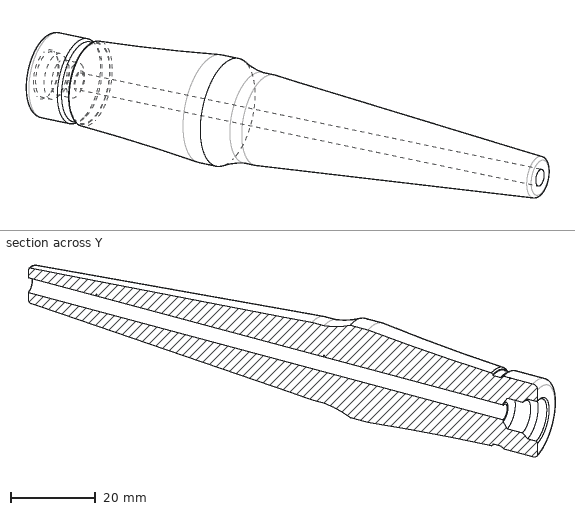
import cadquery as cq

length = 134.0

collar_diameter = 20.5
groove_diameter = 19.3
belly_diameter = 26.0
neck_diameter = 21.9
tip_diameter = 9.9

groove_chamfer_start = 9.0
groove_chamfer_end = 9.8
groove_end = 12.2
belly_start = 44.6
belly_end = 49.3
neck_start = 56.2
neck_end = 59.4

collar_fillet = 1.27
tip_fillet = 0.8
groove_lip_chamfer = 0.4
swell_sag = 0.24
flare_sag = 0.34

mouth_diameter = 11.8
socket_diameter = 11.0
pilot_diameter = 8.5
cone_end_diameter = 5.0
hole_diameter = 4.0
mouth_chamfer_depth = (mouth_diameter - socket_diameter) / 2
socket_depth = 2.7
shoulder_depth = 4.0
pilot_depth = 8.0
cone_depth = 9.1


def hollow_point(start, end, sag):
    """Middle of a chord between two profile points, lowered towards the axis."""
    return ((start[0] + end[0]) / 2, (start[1] + end[1]) / 2 - sag)


def turn(profile):
    """Close a profile drawn from one end of the axis and revolve it about X."""
    return profile.close().revolve(360, (0, 0, 0), (1, 0, 0))


def make_body():
    collar_radius = collar_diameter / 2
    groove_radius = groove_diameter / 2
    swell_start = (groove_end, collar_radius)
    swell_end = (belly_start, belly_diameter / 2)
    flare_start = (belly_end, belly_diameter / 2)
    flare_end = (neck_start, neck_diameter / 2)
    profile = (
        cq.Workplane("XY")
        .lineTo(0, collar_radius)
        .lineTo(groove_chamfer_start, collar_radius)
        .lineTo(groove_chamfer_end, groove_radius)
        .lineTo(groove_end - groove_lip_chamfer, groove_radius)
        .lineTo(groove_end - groove_lip_chamfer, collar_radius - groove_lip_chamfer)
        .lineTo(*swell_start)
        .threePointArc(hollow_point(swell_start, swell_end, swell_sag), swell_end)
        .lineTo(*flare_start)
        .threePointArc(hollow_point(flare_start, flare_end, flare_sag), flare_end)
        .lineTo(neck_end, neck_diameter / 2)
        .lineTo(length, tip_diameter / 2)
        .lineTo(length, 0)
    )
    body = turn(profile)
    body = body.faces("<X").edges().fillet(collar_fillet)
    return body.faces(">X").edges().fillet(tip_fillet)


def make_bore():
    profile = (
        cq.Workplane("XY")
        .lineTo(0, mouth_diameter / 2)
        .lineTo(mouth_chamfer_depth, socket_diameter / 2)
        .lineTo(socket_depth, socket_diameter / 2)
        .lineTo(shoulder_depth, pilot_diameter / 2)
        .lineTo(pilot_depth, pilot_diameter / 2)
        .lineTo(cone_depth, cone_end_diameter / 2)
        .lineTo(cone_depth, hole_diameter / 2)
        .lineTo(length, hole_diameter / 2)
        .lineTo(length, 0)
    )
    return turn(profile)


result = make_body().cut(make_bore()).translate((-length / 2, 0, 0))